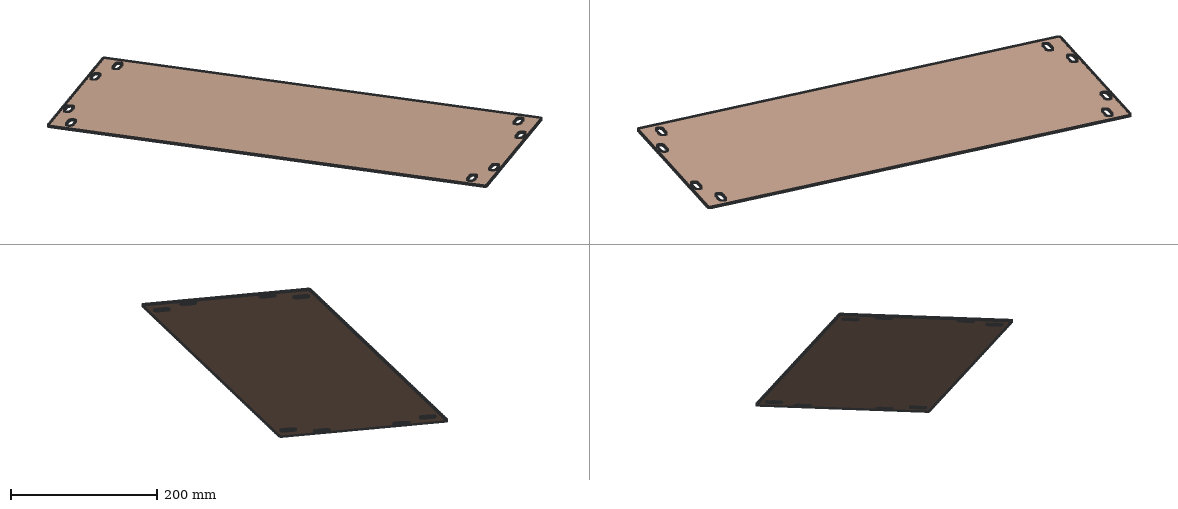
import cadquery as cq

length = 633.0
width = 240.0
thickness = 2.0
corner_radius = 3.0

slot_length = 22.0
slot_width = 10.0

corner_slot_spacing_x = 579.0
corner_slot_spacing_y = 200.0
edge_slot_spacing_x = 614.0
edge_slot_spacing_y = 114.0


def make_panel():
    """Panel centred on the origin, with rounded vertical corners."""
    return cq.Workplane("XY").box(length, width, thickness).edges("|Z").fillet(corner_radius)


def cut_slots(panel, spacing_x, spacing_y):
    """Cut one through slot at each corner of a centred rectangle."""
    return (
        panel.faces(">Z")
        .workplane(origin=(0, 0, 0))
        .rect(spacing_x, spacing_y, forConstruction=True)
        .vertices()
        .slot2D(slot_length, slot_width, angle=90)
        .cutThruAll()
    )


panel = make_panel()
panel = cut_slots(panel, corner_slot_spacing_x, corner_slot_spacing_y)
result = cut_slots(panel, edge_slot_spacing_x, edge_slot_spacing_y)